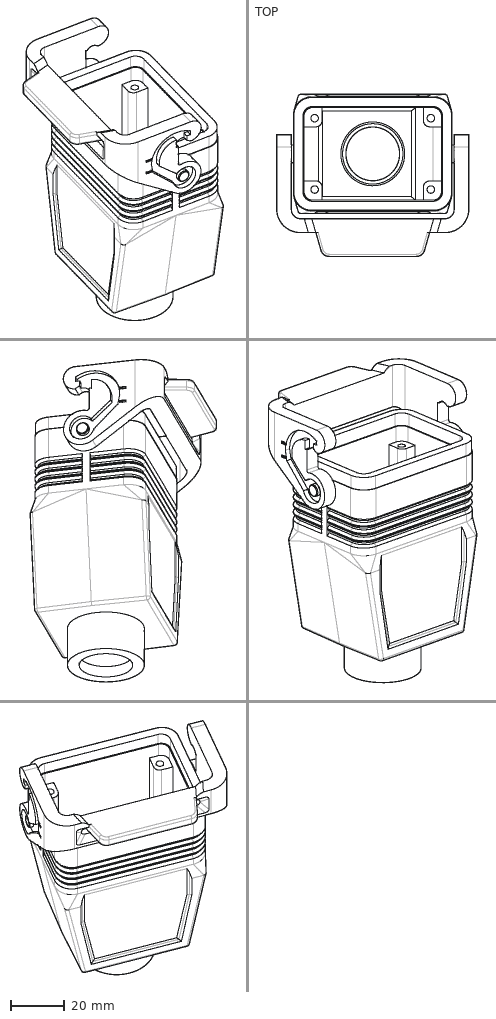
import cadquery as cq
import math

TOTAL_HEIGHT = 108.5

GLAND_RADIUS = 14.5
GLAND_BORE = 10.1
GLAND_SEAT = 11.4
GLAND_SEAT_Z = 4.3
SEAT_CHAMFER = 0.7
BASE_Z = 15.3
SHOULDER_Z = 53.5
NECK_Z = 59.9
COLLAR_Z = 74.8
RIM_STEP_Z = 86.8
BODY_TOP_Z = 91.9

BASE_HALF_X = 21.9
SHELL_HALF_Y = 22.6
SIDE_BOW = 0.5
SHELL_FILLET = 1.3

NECK_HALF_X = 29.9
NECK_HALF_Y = 21.5
NECK_CORNER = 6.8
RIM_STEP = 0.2

SIDE_SLOPE = (NECK_HALF_X - BASE_HALF_X) / (NECK_Z - BASE_Z)
SHOULDER_HALF_X = BASE_HALF_X + SIDE_SLOPE * (SHOULDER_Z - BASE_Z)

GROOVE_COUNT = 4
GROOVE_PITCH = 3.0
GROOVE_FLOOR = 0.8
GROOVE_SLOPE = 1.0
GROOVE_DEPTH = 1.1
WEB_HALF_WIDTH = 1.5

PANEL_DEPTH = 0.9
PANEL_BEND_Z = 44.2
PANEL_BOTTOM_Z = 19.7
PANEL_TOP_HALF = 22.1
PANEL_BOTTOM_HALF = 18.0
PANEL_WALL = 1.6
PANEL_BREAK_DEPTH = 0.5

CAVITY_HALF_X = 25.9
CAVITY_HALF_Y = 17.5
CAVITY_CORNER = 3.3
CAVITY_FLOOR_Z = 18.4
FLOOR_CHAMFER = 1.3
MOUTH_STEP = 0.4
FLOOR_LEFT_X = -20.3
FLOOR_RIGHT_X = 15.8
RIGHT_BEND_X = 22.8
RIGHT_SLOPE_TOP_Z = 65.1
POST_INNER_X = 19.1
POST_INNER_Y = 10.2
POST_TOP_Z = 80.5
POST_CORNER = 2.4
SCREW_X = 21.9
SCREW_Y = 13.5
SCREW_RADIUS = 1.4
SCREW_DEPTH = 13.0

BAIL_WIDTH = 72.5
BAIL_HALF_X = BAIL_WIDTH / 2
ARM_THICKNESS = 5.6
BAIL_FRONT_Y = -29.7
BAR_THICKNESS = 5.3
BAIL_CORNER = 9.0
BAIL_INNER_CORNER = BAIL_CORNER - ARM_THICKNESS
PIVOT_Z = 82.6
PIVOT_EYE = 7.2
EYE_BLEND = 0.9
PIVOT_BOSS = 3.4
HOOK_RADIUS = 4.7
HOOK_Y = 2.6
ARM_BACK_Y = -2.8
MOUTH_FRONT_Y = 1.2
MOUTH_FRONT_Z = 100.0
MOUTH_CROWN_Y = -0.7
MOUTH_CROWN_Z = 100.1
MOUTH_BACK_Y = -2.3
MOUTH_BACK_Z = 98.9
BAR_BOTTOM_Z = 95.1
DIP_SLANT = 2.8
DIP_BULGE = 0.3

CHANNEL_DEPTH = 2.2
CHANNEL_Y = -3.7
CHANNEL_Z = 94.8
CHANNEL_OUTER = 11.1
CHANNEL_INNER = 7.5
CHANNEL_EYE = 4.8
PIN_RADIUS = 2.4
PIN_HEIGHT = 1.6
PIN_CHAMFER = 0.3
CHANNEL_TAIL_Y = 2.5
CHANNEL_MOUTH_Y = 0.9
CHANNEL_MOUTH_Z = 98.7
LINK_BEND_Z = 92.7
LINK_INNER_FOOT = (-4.0, 86.2)
LINK_OUTER_FOOT = (-4.5, 81.2)
LINK_OUTER_BEND = (-14.0, 90.8)
MARK_Y = -15.8
MARK_LENGTH = 2.4
MARK_WIDTH = 0.8
MARK_DEPTH = 0.5
MARK_HEIGHTS = (91.7, 97.4)

TAB_TOP_Z = 106.5
TAB_BOTTOM_Z = 102.0
TAB_TIP_Y = -38.7
TAB_BACK_HALF = 23.0
TAB_FRONT_HALF = 21.5
TAB_CORNER = 3.3
TAB_FILLET = 0.9
RECESS_HALF_X = 26.5
RECESS_BOTTOM_Z = 96.5
RECESS_TOP_Z = 105.2
RECESS_SLANT = 2.8
RECESS_CORNER = 1.4
RECESS_DEPTH = 2.2


def both_sides(shape, plane):
    """Join a shape with its mirror image about a plane through the origin."""
    return shape.union(shape.mirror(plane))


def neck_block(z0, inset0, z1, inset1):
    """Rounded block whose outline may shrink or grow evenly from z0 to z1."""
    def outline(inset):
        sketch = cq.Sketch().rect(2 * (NECK_HALF_X - inset), 2 * (NECK_HALF_Y - inset))
        return sketch.vertices().fillet(NECK_CORNER - inset)

    lower = outline(inset0).moved(cq.Location(cq.Vector(0, 0, z0)))
    upper = outline(inset1).moved(cq.Location(cq.Vector(0, 0, z1)))
    return cq.Workplane("XY").placeSketch(lower, upper).loft(ruled=True)


def neck():
    """Grooved neck, plain collar and slightly smaller rim."""
    groove_height = GROOVE_FLOOR + 2 * GROOVE_SLOPE
    levels = [(NECK_Z, 0.0)]
    for i in reversed(range(GROOVE_COUNT)):
        top = COLLAR_Z - i * GROOVE_PITCH
        bottom = top - groove_height
        levels += [
            (bottom, 0.0),
            (bottom + GROOVE_SLOPE, GROOVE_DEPTH),
            (top - GROOVE_SLOPE, GROOVE_DEPTH),
            (top, 0.0),
        ]
    levels += [(RIM_STEP_Z, 0.0)]
    body = neck_block(RIM_STEP_Z, RIM_STEP, BODY_TOP_Z, RIM_STEP)
    for (z0, inset0), (z1, inset1) in zip(levels, levels[1:]):
        body = body.union(neck_block(z0, inset0, z1, inset1))
    web_height = COLLAR_Z - NECK_Z
    web = cq.Workplane("XY").box(2 * NECK_HALF_X, 2 * WEB_HALF_WIDTH, web_height)
    return body.union(web.translate((0, 0, NECK_Z + web_height / 2)))


def tapered_shell():
    """Shell that narrows downwards, with bowed sides and rounded edges."""
    def outline(half_x):
        side = half_x - SIDE_BOW
        return [
            (half_x, 0),
            (side, SHELL_HALF_Y),
            (-side, SHELL_HALF_Y),
            (-half_x, 0),
            (-side, -SHELL_HALF_Y),
            (side, -SHELL_HALF_Y),
        ]

    blank = (
        cq.Workplane("XY", origin=(0, 0, BASE_Z))
        .polyline(outline(BASE_HALF_X)).close()
        .workplane(offset=SHOULDER_Z - BASE_Z)
        .polyline(outline(SHOULDER_HALF_X)).close()
        .loft(ruled=True)
    )
    corners = blank.faces("<Y or >Y").edges("not #Z")
    return corners.add(blank.faces("<Z").edges()).fillet(SHELL_FILLET)


def shoulder():
    """Sloped facets and corner cones that join the shell to the neck."""
    side = SHOULDER_HALF_X - SIDE_BOW * (1 - SHELL_FILLET / SHELL_HALF_Y)
    small = SHELL_FILLET * (1 - math.sqrt(0.5))
    large = NECK_CORNER * (1 - math.sqrt(0.5))

    def low(x, y):
        return cq.Vector(x, y, SHOULDER_Z)

    def high(x, y):
        return cq.Vector(x, y, NECK_Z)

    low_centre, high_centre = low(0, 0), high(0, 0)
    low_mid, high_mid = low(SHOULDER_HALF_X, 0), high(NECK_HALF_X, 0)
    low_side = low(side, SHELL_HALF_Y - SHELL_FILLET)
    low_end = low(side - SHELL_FILLET, SHELL_HALF_Y)
    high_side = high(NECK_HALF_X, NECK_HALF_Y - NECK_CORNER)
    high_end = high(NECK_HALF_X - NECK_CORNER, NECK_HALF_Y)
    low_face, high_face = low(0, SHELL_HALF_Y), high(0, NECK_HALF_Y)
    low_arc = cq.Edge.makeThreePointArc(
        low_side, low(side - small, SHELL_HALF_Y - small), low_end
    )
    high_arc = cq.Edge.makeThreePointArc(
        high_side, high(NECK_HALF_X - large, NECK_HALF_Y - large), high_end
    )

    def facet(*points):
        return cq.Face.makeFromWires(cq.Wire.makePolygon(points, close=True))

    def cap(centre, mid, start, arc, end, face):
        edges = cq.Wire.makePolygon([end, face, centre, mid, start]).Edges()
        return cq.Face.makeFromWires(cq.Wire.assembleEdges(edges + [arc]))

    faces = [
        facet(high_mid, high_side, low_side),
        facet(high_mid, low_side, low_mid),
        cq.Face.makeRuledSurface(low_arc, high_arc),
        facet(low_end, high_end, high_face, low_face),
        facet(low_centre, low_mid, high_mid, high_centre),
        facet(low_centre, low_face, high_face, high_centre),
        cap(low_centre, low_mid, low_side, low_arc, low_end, low_face),
        cap(high_centre, high_mid, high_side, high_arc, high_end, high_face),
    ]
    quarter = cq.Workplane(cq.Solid.makeSolid(cq.Shell.makeShell(faces)))
    return both_sides(both_sides(quarter, "YZ"), "XZ")


def label_panel():
    """Cutter for the shallow front panel with slanted side and bottom walls."""
    def outline(inset):
        return [
            (PANEL_TOP_HALF - inset, NECK_Z),
            (PANEL_TOP_HALF - inset, PANEL_BEND_Z),
            (PANEL_BOTTOM_HALF - inset, PANEL_BOTTOM_Z + inset),
            (inset - PANEL_BOTTOM_HALF, PANEL_BOTTOM_Z + inset),
            (inset - PANEL_TOP_HALF, PANEL_BEND_Z),
            (inset - PANEL_TOP_HALF, NECK_Z),
        ]

    return (
        cq.Workplane("XZ", origin=(0, -SHELL_HALF_Y, 0))
        .polyline(outline(0)).close()
        .workplane(offset=-PANEL_BREAK_DEPTH)
        .polyline(outline(PANEL_WALL / 2)).close()
        .workplane(offset=PANEL_BREAK_DEPTH - PANEL_DEPTH)
        .polyline(outline(PANEL_WALL)).close()
        .loft(ruled=True)
    )


def cavity():
    mouth = (
        cq.Workplane("XY", origin=(0, 0, RIM_STEP_Z))
        .rect(2 * (CAVITY_HALF_X + MOUTH_STEP), 2 * (CAVITY_HALF_Y + MOUTH_STEP))
        .extrude(BODY_TOP_Z - RIM_STEP_Z)
        .edges("|Z").fillet(CAVITY_CORNER + MOUTH_STEP)
    )
    chamber = (
        cq.Workplane("XZ", origin=(0, CAVITY_HALF_Y, 0))
        .polyline([
            (-CAVITY_HALF_X, RIM_STEP_Z),
            (-CAVITY_HALF_X, SHOULDER_Z),
            (FLOOR_LEFT_X, CAVITY_FLOOR_Z),
            (FLOOR_RIGHT_X, CAVITY_FLOOR_Z),
            (RIGHT_BEND_X, SHOULDER_Z),
            (CAVITY_HALF_X, RIGHT_SLOPE_TOP_Z),
            (CAVITY_HALF_X, RIM_STEP_Z),
        ])
        .close()
        .extrude(2 * CAVITY_HALF_Y)
        .edges("|Z").fillet(CAVITY_CORNER)
        .faces("<Z").edges().chamfer(FLOOR_CHAMFER)
    )
    return mouth.union(chamber)


def screw_posts():
    """Four corner posts; each reaches past the cavity wall to merge with it."""
    size_x = CAVITY_HALF_X + MOUTH_STEP - POST_INNER_X
    size_y = CAVITY_HALF_Y + MOUTH_STEP - POST_INNER_Y
    post = (
        cq.Workplane("XY", origin=(POST_INNER_X, POST_INNER_Y, CAVITY_FLOOR_Z))
        .rect(size_x, size_y, centered=False)
        .extrude(POST_TOP_Z - CAVITY_FLOOR_Z)
        .edges("|Z and <X and <Y").fillet(POST_CORNER)
    )
    return both_sides(both_sides(post, "YZ"), "XZ")


def screw_holes():
    return (
        cq.Workplane("XY", origin=(0, 0, POST_TOP_Z - SCREW_DEPTH))
        .rect(2 * SCREW_X, 2 * SCREW_Y, forConstruction=True)
        .vertices().circle(SCREW_RADIUS)
        .extrude(SCREW_DEPTH)
    )


def gland_bore():
    opening = cq.Workplane("XY").circle(GLAND_BORE).extrude(CAVITY_FLOOR_Z)
    seat = (
        cq.Workplane("XY", origin=(0, 0, GLAND_SEAT_Z))
        .circle(GLAND_SEAT).extrude(CAVITY_FLOOR_Z - GLAND_SEAT_Z)
    )
    lead_in = cq.Solid.makeCone(
        GLAND_SEAT, GLAND_SEAT + SEAT_CHAMFER, SEAT_CHAMFER,
        pnt=cq.Vector(0, 0, CAVITY_FLOOR_Z - SEAT_CHAMFER),
    )
    return opening.union(seat).union(cq.Workplane(lead_in))


def hood():
    outside = neck().union(shoulder()).union(tapered_shell())
    outside = outside.cut(both_sides(label_panel(), "XZ"))
    gland = cq.Workplane("XY").circle(GLAND_RADIUS).extrude(CAVITY_FLOOR_Z)
    posts = screw_posts().intersect(outside)
    hollow = outside.union(gland).cut(cavity())
    return hollow.union(posts).cut(gland_bore()).cut(screw_holes())


def bail_profile():
    """Side outline of the bail: hook, pivot eye and sloped lower edge."""
    reach_y = BAIL_FRONT_Y
    reach_z = BAR_BOTTOM_Z - PIVOT_Z
    reach = math.hypot(reach_y, reach_z)
    touch = math.atan2(reach_z, reach_y) + math.acos(PIVOT_EYE / reach)
    touch_point = (PIVOT_EYE * math.cos(touch), PIVOT_Z + PIVOT_EYE * math.sin(touch))
    eye_end = (ARM_BACK_Y, PIVOT_Z + math.sqrt(PIVOT_EYE ** 2 - ARM_BACK_Y ** 2))
    hook_z = TOTAL_HEIGHT - HOOK_RADIUS
    hook_bottom = hook_z - HOOK_RADIUS
    return (
        cq.Workplane("YZ", origin=(-BAIL_HALF_X, 0, 0))
        .moveTo(BAIL_FRONT_Y, TOTAL_HEIGHT)
        .lineTo(HOOK_Y, TOTAL_HEIGHT)
        .threePointArc((HOOK_Y + HOOK_RADIUS, hook_z), (HOOK_Y, hook_bottom))
        .lineTo(MOUTH_FRONT_Y, MOUTH_FRONT_Z)
        .threePointArc((MOUTH_CROWN_Y, MOUTH_CROWN_Z), (MOUTH_BACK_Y, MOUTH_BACK_Z))
        .lineTo(ARM_BACK_Y, MOUTH_BACK_Z)
        .lineTo(*eye_end)
        .threePointArc((PIVOT_EYE, PIVOT_Z), touch_point)
        .lineTo(BAIL_FRONT_Y, BAR_BOTTOM_Z)
        .close()
        .extrude(2 * BAIL_HALF_X)
        .edges(cq.NearestToPointSelector((0, *eye_end))).fillet(EYE_BLEND)
    )


def bail_plan():
    """U-shaped outline of the bail, extruded over its full height."""
    length = PIVOT_EYE + HOOK_RADIUS - BAIL_FRONT_Y

    def block(half_x, front_y, radius):
        return (
            cq.Workplane("XY", origin=(0, front_y + length / 2, 0))
            .rect(2 * half_x, length).extrude(TOTAL_HEIGHT)
            .edges("|Z and <Y").fillet(radius)
        )

    outer = block(BAIL_HALF_X, BAIL_FRONT_Y, BAIL_CORNER)
    inner = block(BAIL_HALF_X - ARM_THICKNESS, BAIL_FRONT_Y + BAR_THICKNESS, BAIL_INNER_CORNER)
    return outer.cut(inner)


def bar_dip():
    """Cutter that lowers the middle of the bar; its ends lean with the tab sides."""
    back_y = BAIL_FRONT_Y + BAR_THICKNESS
    mid_z = (TOTAL_HEIGHT + TAB_TOP_Z) / 2 + DIP_BULGE

    def outline(plane, half_bottom):
        half_top = half_bottom + DIP_SLANT
        half_mid = half_bottom + DIP_SLANT / 2
        return (
            plane
            .moveTo(-half_top, TOTAL_HEIGHT)
            .threePointArc((-half_mid, mid_z), (-half_bottom, TAB_TOP_Z))
            .lineTo(half_bottom, TAB_TOP_Z)
            .threePointArc((half_mid, mid_z), (half_top, TOTAL_HEIGHT))
            .close()
        )

    back = outline(cq.Workplane("XZ", origin=(0, back_y, 0)), TAB_BACK_HALF)
    return outline(back.workplane(offset=BAR_THICKNESS), TAB_FRONT_HALF).loft(ruled=True)


def bar_recess():
    """Cutter for the slant-walled, round-cornered recess in the front of the bar."""
    height = RECESS_TOP_Z - RECESS_BOTTOM_Z
    middle = (RECESS_TOP_Z + RECESS_BOTTOM_Z) / 2

    def outline(inset, depth):
        sketch = cq.Sketch().rect(2 * (RECESS_HALF_X - inset), height - 2 * inset)
        rounded = sketch.vertices().fillet(RECESS_CORNER)
        return rounded.moved(cq.Location(cq.Vector(0, 0, -depth)))

    return (
        cq.Workplane("XZ", origin=(0, BAIL_FRONT_Y, middle))
        .placeSketch(outline(0, 0), outline(RECESS_SLANT, RECESS_DEPTH))
        .loft(ruled=True)
    )


def thumb_tab():
    back_y = BAIL_FRONT_Y + BAR_THICKNESS
    side_lean = (TAB_BACK_HALF - TAB_FRONT_HALF) / BAR_THICKNESS
    tip_half = TAB_FRONT_HALF - side_lean * (BAIL_FRONT_Y - TAB_TIP_Y)
    return (
        cq.Workplane("XY", origin=(0, 0, TAB_BOTTOM_Z))
        .polyline([
            (-TAB_BACK_HALF, back_y),
            (-tip_half, TAB_TIP_Y),
            (tip_half, TAB_TIP_Y),
            (TAB_BACK_HALF, back_y),
        ])
        .close()
        .extrude(TAB_TOP_Z - TAB_BOTTOM_Z)
        .edges("|Z and <Y").fillet(TAB_CORNER)
        .faces("<Z or >Z").edges("not >Y").fillet(TAB_FILLET)
    )


def arm_channel():
    """Cutter for the guide channel in the outer face of the -X arm."""
    plane = cq.Workplane("YZ", origin=(-BAIL_HALF_X, 0, 0))
    tail = CHANNEL_TAIL_Y - CHANNEL_Y
    tail_z = CHANNEL_Z + math.sqrt(CHANNEL_OUTER ** 2 - tail ** 2)
    mouth_z = CHANNEL_Z + CHANNEL_INNER
    diagonal = math.sqrt(0.5)
    curve = (
        plane
        .moveTo(CHANNEL_Y - CHANNEL_OUTER, CHANNEL_Z)
        .threePointArc(
            (CHANNEL_Y - CHANNEL_OUTER * diagonal, CHANNEL_Z + CHANNEL_OUTER * diagonal),
            (CHANNEL_TAIL_Y, tail_z),
        )
        .lineTo(CHANNEL_TAIL_Y, mouth_z)
        .lineTo(CHANNEL_Y, mouth_z)
        .threePointArc(
            (CHANNEL_Y - CHANNEL_INNER * diagonal, CHANNEL_Z + CHANNEL_INNER * diagonal),
            (CHANNEL_Y - CHANNEL_INNER, CHANNEL_Z),
        )
        .close()
        .extrude(CHANNEL_DEPTH)
    )
    mouth = (
        plane
        .polyline([
            (CHANNEL_Y, mouth_z),
            (CHANNEL_MOUTH_Y, mouth_z),
            (CHANNEL_MOUTH_Y, CHANNEL_MOUTH_Z),
            (CHANNEL_Y, CHANNEL_MOUTH_Z),
        ])
        .close().extrude(CHANNEL_DEPTH)
    )
    link = (
        plane
        .polyline([
            (CHANNEL_Y - CHANNEL_INNER, CHANNEL_Z),
            (CHANNEL_Y - CHANNEL_INNER, LINK_BEND_Z),
            LINK_INNER_FOOT,
            (0, PIVOT_Z),
            LINK_OUTER_FOOT,
            LINK_OUTER_BEND,
            (CHANNEL_Y - CHANNEL_OUTER, CHANNEL_Z),
        ])
        .close().extrude(CHANNEL_DEPTH)
    )
    eye = plane.center(0, PIVOT_Z).circle(CHANNEL_EYE).extrude(CHANNEL_DEPTH)
    return curve.union(mouth).union(link).union(eye)


def arm_marks():
    """Cutter for the two short position marks beside the channel."""
    return (
        cq.Workplane("YZ", origin=(-BAIL_HALF_X, 0, 0))
        .pushPoints([(MARK_Y, z) for z in MARK_HEIGHTS])
        .rect(MARK_LENGTH, MARK_WIDTH).extrude(MARK_DEPTH)
    )


def pivots():
    """Pivot pin head in the channel and the boss between arm and hood."""
    channel_floor = CHANNEL_DEPTH - BAIL_HALF_X
    head = (
        cq.Workplane("YZ", origin=(channel_floor, 0, PIVOT_Z))
        .circle(PIN_RADIUS).extrude(-PIN_HEIGHT)
        .faces("<X").edges().chamfer(PIN_CHAMFER)
    )
    boss_start = ARM_THICKNESS - BAIL_HALF_X
    boss_end = -(NECK_HALF_X + CAVITY_HALF_X) / 2
    boss = (
        cq.Workplane("YZ", origin=(boss_start, 0, PIVOT_Z))
        .circle(PIVOT_BOSS).extrude(boss_end - boss_start)
    )
    return both_sides(head.union(boss), "YZ")


def bail():
    body = bail_profile().intersect(bail_plan())
    body = body.cut(bar_dip()).cut(bar_recess())
    body = body.cut(both_sides(arm_channel(), "YZ"))
    body = body.cut(both_sides(arm_marks(), "YZ"))
    return body.union(thumb_tab())


result = hood().union(bail()).union(pivots())